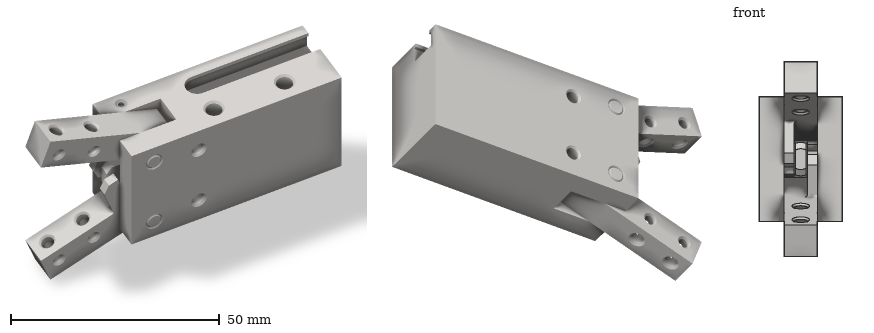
import cadquery as cq
import math

overall_length = 78.4

body_width = 20.0
body_length = 57.0
body_height = 29.95

finger_width = 8.0
finger_slot_depth = 15.3

pivot_z = 10.0
open_angle = 19
tip_reach = 28.0
finger_length = 35.0
finger_outer = 4.5
finger_inner = finger_outer - finger_width
pivot_y = (
    body_length - overall_length
    + tip_reach * math.cos(math.radians(open_angle))
    - finger_inner * math.sin(math.radians(open_angle))
)

leg_width = 2.4
leg_reach = finger_length - tip_reach
leg_bottom = -13.5
leg_nose_chamfer = 1.95
fork_gap = 4.9
fork_root = -10.6
leg_corner_radius = 0.5

tip_hole_inset = 4.0
hole_pitch = 10.0
side_hole, side_hole_mouth = 2.4, 3.45
cross_hole, cross_hole_mouth = 3.2, 4.15

rod_diameter = 8.0
rod_front = -2.2
rod_chamfer = 1.5
tongue_width = 2.6
tongue_root = 9.4

mount_hole, mount_hole_mouth = 3.2, 4.15
mount_y = 18.3
mount_z = 8.5
pin_diameter, pin_mouth, pin_face = 4.0, 4.6, 3.4

port, port_mouth = 4.15, 5.2
port_depth = 5.0
port_x = 4.9
passage_diameter = 0.8
passage_depth = 2.35
front_port_y = 25.1
rear_port_y = 44.2
rear_passage_offset = 1.6

groove_x = -4.0
groove_width = 6.0
undercut_width = 7.7
groove_end = 22.2
groove_lip = 1.0
groove_depth = 5.0

screw_x = -7.0
screw_mouth, screw_face = 3.05, 2.3
screw_recess = 0.4
socket_diameter = 1.6
socket_depth = 1.0
drill_tip_depth = 0.5

half_width = body_width / 2
half_height = body_height / 2


def cylinder(start, direction, diameter, length):
    """Solid cylinder from a start point along a direction."""
    return cq.Workplane(cq.Solid.makeCylinder(
        diameter / 2, length, cq.Vector(*start), cq.Vector(*direction)))


def cone(start, direction, start_diameter, end_diameter, length):
    """Solid cone frustum from a start point along a direction."""
    return cq.Workplane(cq.Solid.makeCone(
        start_diameter / 2, end_diameter / 2, length, cq.Vector(*start), cq.Vector(*direction)))


def countersunk(start, direction, diameter, mouth, depth):
    """Cutter for a hole with a 45 degree countersink at its mouth."""
    sink = (mouth - diameter) / 2
    return cylinder(start, direction, diameter, depth).union(
        cone(start, direction, mouth, diameter, sink))


def through_hole(start, direction, diameter, mouth, length):
    """Cutter for a straight hole countersunk at both ends."""
    end = tuple(s + d * length for s, d in zip(start, direction))
    back = tuple(-d for d in direction)
    return countersunk(start, direction, diameter, mouth, length).union(
        countersunk(end, back, diameter, mouth, length))


def make_body():
    body = cq.Workplane("XY").box(body_width, body_length, body_height).translate(
        (0, body_length / 2, 0))
    finger_slot = cq.Workplane("XY").box(finger_width, finger_slot_depth, body_height).translate(
        (0, finger_slot_depth / 2, 0))
    body = body.cut(finger_slot)
    for z in (mount_z, -mount_z):
        body = body.cut(through_hole(
            (-half_width, mount_y, z), (1, 0, 0), mount_hole, mount_hole_mouth, body_width))
    return body


def groove_cutter(width, bottom, top):
    """Open-ended slot cutter with a round front end."""
    end_center = groove_end + groove_width / 2
    return (
        cq.Workplane("XY", origin=(0, 0, bottom))
        .moveTo(groove_x - width / 2, body_length)
        .lineTo(groove_x - width / 2, end_center)
        .threePointArc((groove_x, end_center - width / 2), (groove_x + width / 2, end_center))
        .lineTo(groove_x + width / 2, body_length)
        .close()
        .extrude(top - bottom)
    )


def cut_groove(body):
    lip_bottom = half_height - groove_lip
    opening = groove_cutter(groove_width, lip_bottom, half_height)
    undercut = groove_cutter(undercut_width, half_height - groove_depth, lip_bottom)
    return body.cut(opening).cut(undercut)


def cut_port(body, y, passage_offset):
    down = (0, 0, -1)
    body = body.cut(countersunk((port_x, y, half_height), down, port, port_mouth, port_depth))
    floor = (port_x, y + passage_offset, half_height - port_depth)
    return body.cut(cylinder(floor, down, passage_diameter, passage_depth))


def cut_set_screw(body):
    down = (0, 0, -1)
    top = half_height
    body = body.cut(cone((screw_x, pivot_y, top), down, screw_mouth, screw_face, screw_recess))
    face = top - screw_recess
    body = body.cut(cylinder((screw_x, pivot_y, face), down, socket_diameter, socket_depth))
    floor = face - socket_depth
    return body.cut(cone((screw_x, pivot_y, floor), down, socket_diameter, 0, drill_tip_depth))


def cut_pin_rings(body):
    """V-shaped ring round each pivot pin where its chamfer meets the countersink."""
    sink = (pin_mouth - pin_diameter) / 2
    for side in (-1, 1):
        inward = (-side, 0, 0)
        for z in (pivot_z, -pivot_z):
            start = (side * half_width, pivot_y, z)
            ring = cone(start, inward, pin_mouth, pin_diameter, sink).cut(
                cone(start, inward, pin_face, pin_diameter, sink))
            body = body.cut(ring)
    return body


def make_upper_finger():
    """Finger built with its pivot at the origin and its tip toward -Y, then swung open."""
    bar = cq.Workplane("XY").box(finger_width, finger_length, finger_width).translate(
        (0, finger_length / 2 - tip_reach, (finger_outer + finger_inner) / 2))

    fork_radius = fork_gap / 2
    profile_plane = cq.Plane(origin=(-finger_width / 2, 0, 0), xDir=(0, -1, 0), normal=(-1, 0, 0))
    leg = (
        cq.Workplane(profile_plane)
        .moveTo(-leg_reach, finger_inner)
        .lineTo(-leg_reach, leg_bottom + leg_nose_chamfer)
        .lineTo(leg_nose_chamfer - leg_reach, leg_bottom)
        .lineTo(-fork_radius, leg_bottom)
        .lineTo(-fork_radius, fork_root)
        .threePointArc((0, fork_root + fork_radius), (fork_radius, fork_root))
        .lineTo(fork_radius, leg_bottom)
        .lineTo(leg_reach - leg_nose_chamfer, leg_bottom)
        .lineTo(leg_reach, leg_bottom + leg_nose_chamfer)
        .lineTo(leg_reach, finger_inner)
        .close()
        .extrude(-leg_width)
    )

    leg_side = leg_width - finger_width / 2
    side_middle = (leg_side, 0, finger_inner)
    front_middle = ((leg_side - finger_width / 2) / 2, -leg_reach, finger_inner)
    finger = bar.union(leg)
    corners = finger.edges(cq.NearestToPointSelector(side_middle)).add(
        finger.edges(cq.NearestToPointSelector(front_middle)))
    finger = finger.newObject(corners.vals()).fillet(leg_corner_radius)

    for inset in (tip_hole_inset, tip_hole_inset + hole_pitch):
        y = inset - tip_reach
        side_start = (-finger_width / 2, y, 0)
        finger = finger.cut(through_hole(
            side_start, (1, 0, 0), side_hole, side_hole_mouth, finger_width))
        finger = finger.cut(through_hole(
            (0, y, finger_outer), (0, 0, -1), cross_hole, cross_hole_mouth, finger_width))

    return finger.rotate((0, 0, 0), (1, 0, 0), -open_angle).translate((0, pivot_y, pivot_z))


def make_plunger():
    """Round rod with a chamfered nose, flattened to a tongue between the legs."""
    rod_length = finger_slot_depth - rod_front
    rod = (
        cylinder((0, rod_front, 0), (0, 1, 0), rod_diameter, rod_length)
        .faces("<Y")
        .chamfer(rod_chamfer)
    )
    tongue_length = tongue_root - rod_front
    cheek_width = (rod_diameter - tongue_width) / 2
    for side in (-1, 1):
        cheek = cq.Workplane("XY").box(cheek_width, tongue_length, rod_diameter).translate(
            (side * (tongue_width + cheek_width) / 2, rod_front + tongue_length / 2, 0))
        rod = rod.cut(cheek)
    return rod


body = make_body()
body = cut_groove(body)
body = cut_port(body, front_port_y, 0)
body = cut_port(body, rear_port_y, rear_passage_offset)
body = cut_set_screw(body)
body = cut_pin_rings(body)

upper_finger = make_upper_finger()
lower_finger = upper_finger.rotate((0, 0, 0), (0, 1, 0), 180)

result = body.union(make_plunger()).union(upper_finger).union(lower_finger)